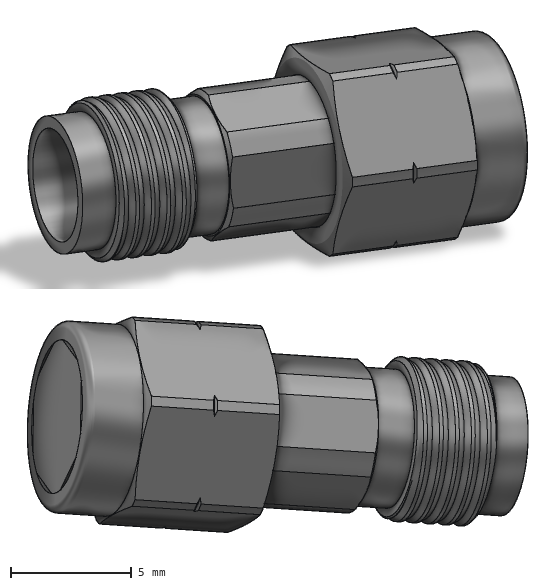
import cadquery as cq
import math


thread_start = 1.5
thread_end = 5.0
shank_start = 6.6
nut_start = 11.3
nut_hex_end = 17.3
overall_length = 19.7

nut_across_flats = 8.0
nut_corner_diameter = 9.0
nut_face_diameter = 7.8
nut_chamfer_length = 0.18
collar_diameter = 8.0
collar_fillet = 0.3
groove_floor_diameter = 8.77
groove_width = 0.18

shank_across_flats = 6.0
shank_corner_diameter = 6.4
shank_end_diameter = 5.95
shank_chamfer_length = 0.14
shank_turn = 27.3
sleeve_diameter = 5.8
bore_diameter = 4.77
bore_depth = 2.0

thread_diameter = 6.85
thread_pitch = (thread_end - thread_start) / 5
thread_depth = 0.14
thread_groove_width = 0.53
thread_chamfer = 0.18
thread_helix_start = 1.2
thread_turns = 6
tool_overrun = 0.02


def cylinder(diameter, start, end):
    return cq.Workplane("XY").workplane(offset=start).circle(diameter / 2).extrude(end - start)


def hex_prism(across_flats, start, end, turn=0):
    """Hexagonal prism, corners on the X axis when turn is 0; turn is in degrees about Z."""
    corner_radius = across_flats / math.sqrt(3)
    angles = [math.radians(turn + 60 * corner) for corner in range(6)]
    corners = [(corner_radius * math.cos(angle), corner_radius * math.sin(angle)) for angle in angles]
    return cq.Workplane("XY").workplane(offset=start).polyline(corners).close().extrude(end - start)


def turned(outline):
    """Solid of revolution about Z from (radius, height) points."""
    return cq.Workplane("XZ").polyline(outline).close().revolve(360, (0, 0, 0), (0, 1, 0))


def make_corner_groove():
    """V-groove ring that nicks the six nut corners halfway along the hexagon."""
    middle = (nut_start + nut_hex_end) / 2
    corner_radius = nut_corner_diameter / 2
    return turned([
        (groove_floor_diameter / 2, middle),
        (corner_radius, middle - groove_width / 2),
        (corner_radius, middle + groove_width / 2),
    ])


def make_nut():
    corner_radius = nut_corner_diameter / 2
    face_radius = nut_face_diameter / 2
    envelope = turned([
        (0, nut_start),
        (face_radius, nut_start),
        (corner_radius, nut_start + nut_chamfer_length),
        (corner_radius, nut_hex_end - nut_chamfer_length),
        (face_radius, nut_hex_end),
        (0, nut_hex_end),
    ])
    hexagon = hex_prism(nut_across_flats, nut_start, nut_hex_end).intersect(envelope)
    hexagon = hexagon.cut(make_corner_groove())
    collar = cylinder(collar_diameter, nut_hex_end, overall_length)
    collar = collar.faces(">Z").edges().fillet(collar_fillet)
    shank_hole = cylinder(shank_corner_diameter, nut_start, overall_length)
    return hexagon.union(collar).cut(shank_hole)


def make_shank():
    """Hexagonal part of the barrel with turned corners and a chamfered outer end."""
    corner_radius = shank_corner_diameter / 2
    envelope = turned([
        (0, shank_start),
        (shank_end_diameter / 2, shank_start),
        (corner_radius, shank_start + shank_chamfer_length),
        (corner_radius, overall_length),
        (0, overall_length),
    ])
    hexagon = hex_prism(shank_across_flats, shank_start, overall_length, shank_turn)
    return hexagon.intersect(envelope)


def make_thread():
    """Chamfered thread blank with one continuous helical V-groove cut into it."""
    blank = cylinder(thread_diameter, thread_start, thread_end)
    blank = blank.faces("<Z or >Z").edges().chamfer(thread_chamfer)
    crest_radius = thread_diameter / 2
    root_radius = crest_radius - thread_depth
    tool_radius = crest_radius + tool_overrun
    tool_half_width = thread_groove_width / 2 * (tool_radius - root_radius) / thread_depth
    helix = cq.Wire.makeHelix(thread_pitch, thread_turns * thread_pitch, crest_radius)
    helix = helix.translate(cq.Vector(0, 0, thread_helix_start))
    cutter = (
        cq.Workplane("XZ")
        .moveTo(root_radius, thread_helix_start)
        .lineTo(tool_radius, thread_helix_start - tool_half_width)
        .lineTo(tool_radius, thread_helix_start + tool_half_width)
        .close()
        .sweep(cq.Workplane(obj=helix), isFrenet=True)
    )
    return blank.cut(cutter)


def make_barrel():
    sleeve = cylinder(sleeve_diameter, 0, shank_start)
    bore = cylinder(bore_diameter, 0, bore_depth)
    return sleeve.union(make_shank()).union(make_thread()).cut(bore)


def lay_along_y(body):
    return body.rotate((0, 0, 0), (1, 0, 0), -90)


nut = lay_along_y(make_nut())
barrel = lay_along_y(make_barrel())

result = cq.Compound.makeCompound([nut.val(), barrel.val()])